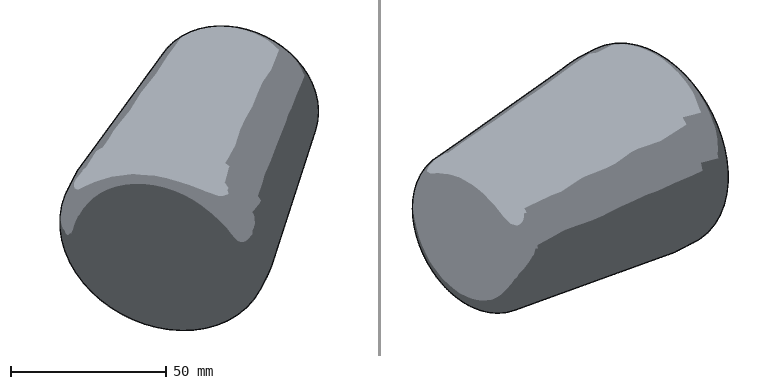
import cadquery as cq

length = 90.0
wide_radius = 35.0
narrow_radius = 27.0
band_length = 15.0
edge_radius = 7.5

profile = (
    cq.Workplane("XY")
    .lineTo(wide_radius, 0)
    .lineTo(wide_radius, band_length)
    .lineTo(narrow_radius, length)
    .lineTo(0, length)
    .close()
)
body = profile.revolve(360, (0, 0, 0), (0, 1, 0))

result = body.faces("<Y or >Y").edges().fillet(edge_radius)